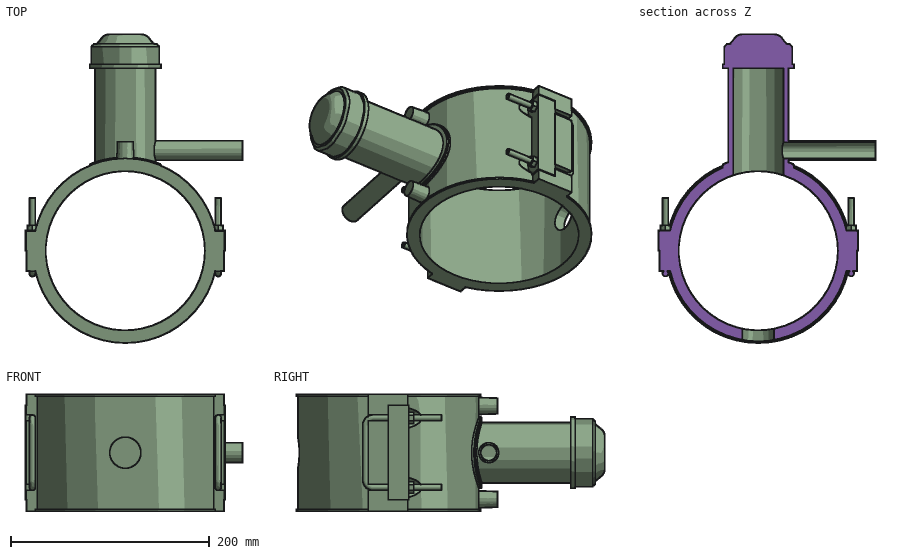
import cadquery as cq
import math

HEIGHT = 118.0
BORE_RADIUS = 80.0
BODY_RADIUS = 91.2
RIM_RADIUS = 93.0
RIM_HEIGHT = 2.0
FRONT_HOLE_DIAMETER = 31.36

FLANGE_REACH = 99.5
FRONT_FLANGE_DEPTH = 20.5
REAR_FLANGE_DEPTH = 19.5
PLATE_THICKNESS = 1.0
PLATE_LENGTH = 95.0

BOLT_DIAMETER = 6.0
BOLT_X = 93.5
BOLT_Z = 35.0
BOLT_END_Y = 53.5
BOLT_CHAMFER = 0.5
BEND_RADIUS = 7.5
BOLT_BASE_Y = -23.0
NUT_ACROSS_FLATS = 10.0
NUT_HEIGHT = 5.0
SPOTFACE_RADIUS = 11.0
SPOTFACE_END_RADIUS = 7.4
SPOTFACE_LENGTH = 20.0

NECK_DIAMETER = 61.2
NECK_BORE_DIAMETER = 50.4
PAD_DIAMETER = 72.0
PAD_THICKNESS = 3.0
PAD_CHAMFER = 1.0
COLLAR_DIAMETER = 72.0
COLLAR_START_Y = 183.5
COLLAR_THICKNESS = 4.5
GRIP_RADIUS = 34.4
GRIP_FLATS = 8
GRIP_FLAT_DISTANCE = 33.6
GRIP_LENGTH = 20.3
GRIP_CHAMFER = 2.8
DOME_BASE_RADIUS = 28.8
DOME_TOP_RADIUS = 20.8
DOME_EDGE_RADIUS = 10.0
CAP_END_Y = 218.02

OUTLET_DIAMETER = 20.0
OUTLET_BORE_DIAMETER = 16.0
OUTLET_Y = 101.0
OUTLET_END_X = 118.0

TERMINAL_TIP_DIAMETER = 16.0
TERMINAL_TIP_Y = 110.0
TERMINAL_Z = 47.0
TERMINAL_DRAFT_DEGREES = 2.0

PLATE_REACH = FLANGE_REACH + PLATE_THICKNESS
PLATE_TOP_Y = REAR_FLANGE_DEPTH + PLATE_THICKNESS
BOLT_RADIUS = BOLT_DIAMETER / 2
GRIP_START_Y = COLLAR_START_Y + COLLAR_THICKNESS
GRIP_END_Y = GRIP_START_Y + GRIP_LENGTH
MID_WALL_RADIUS = (BORE_RADIUS + BODY_RADIUS) / 2


def box(x_range, y_range, z_range):
    """Axis-aligned box between the given limits."""
    size = [high - low for low, high in (x_range, y_range, z_range)]
    corner = (x_range[0], y_range[0], z_range[0])
    return cq.Workplane("XY").box(*size, centered=False).translate(corner)


def cylinder_z(radius, height):
    """Cylinder on the ring axis, centred on Z = 0."""
    return cq.Workplane("XY").circle(radius).extrude(height / 2, both=True)


def cylinder_y(diameter, start_y, end_y, x=0.0, z=0.0):
    """Cylinder along Y from start_y to end_y."""
    plane = cq.Plane(origin=(x, start_y, z), xDir=(1, 0, 0), normal=(0, 1, 0))
    return cq.Workplane(plane).circle(diameter / 2).extrude(end_y - start_y)


def ring_blank():
    """Solid ring body with a slightly larger rim at both ends."""
    blank = cylinder_z(BODY_RADIUS, HEIGHT)
    rim = cq.Workplane("XY").circle(RIM_RADIUS).extrude(RIM_HEIGHT)
    blank = blank.union(rim.translate((0, 0, HEIGHT / 2 - RIM_HEIGHT)))
    return blank.union(rim.translate((0, 0, -HEIGHT / 2)))


def flange():
    """Flange pair on the +X side, with the clamping plate wrapped over the rear one."""
    half_height = HEIGHT / 2
    block = box(
        (MID_WALL_RADIUS, FLANGE_REACH),
        (-FRONT_FLANGE_DEPTH, REAR_FLANGE_DEPTH),
        (-half_height, half_height),
    )
    plate = box(
        (MID_WALL_RADIUS, PLATE_REACH),
        (0, PLATE_TOP_Y),
        (-PLATE_LENGTH / 2, PLATE_LENGTH / 2),
    )
    return block.union(plate)


def bolt_slot(z):
    """Slot in the front flange that takes one bolt leg, open to +X."""
    slot = box(
        (BOLT_X, PLATE_REACH),
        (-FRONT_FLANGE_DEPTH, 0),
        (z - BOLT_RADIUS, z + BOLT_RADIUS),
    )
    return slot.union(cylinder_y(BOLT_DIAMETER, -FRONT_FLANGE_DEPTH, 0, BOLT_X, z))


def u_bolt():
    """U-bolt on the +X side, closed end towards -Y, with chamfered leg ends."""
    bend_y = BOLT_BASE_Y + BEND_RADIUS
    bend_z = BOLT_Z - BEND_RADIUS
    bridge = cq.Workplane("XY", origin=(BOLT_X, BOLT_BASE_Y, 0)).circle(BOLT_RADIUS).extrude(bend_z, both=True)
    leg = cylinder_y(BOLT_DIAMETER, bend_y, BOLT_END_Y, BOLT_X, BOLT_Z)
    leg = leg.faces(">Y").chamfer(BOLT_CHAMFER)
    torus = cq.Solid.makeTorus(
        BEND_RADIUS,
        BOLT_RADIUS,
        cq.Vector(BOLT_X, bend_y, bend_z),
        cq.Vector(1, 0, 0),
    )
    corner = box(
        (BOLT_X - BOLT_RADIUS, BOLT_X + BOLT_RADIUS),
        (BOLT_BASE_Y - BOLT_RADIUS, bend_y),
        (bend_z, BOLT_Z + BOLT_RADIUS),
    )
    bend = corner.intersect(cq.Workplane(torus))
    half = leg.union(bend)
    return bridge.union(half).union(half.mirror("XY"))


def nut(z):
    """Hexagon nut on the clamping plate, corners pointing along Z."""
    corner_diameter = NUT_ACROSS_FLATS / math.cos(math.pi / 6)
    plane = cq.Plane(origin=(BOLT_X, PLATE_TOP_Y, z), xDir=(0, 0, 1), normal=(0, 1, 0))
    return cq.Workplane(plane).polygon(6, corner_diameter).extrude(NUT_HEIGHT)


def spotface(z):
    """Tapered clearance for a nut, cut into the ring wall above the clamping plate."""
    origin = cq.Vector(BOLT_X, PLATE_TOP_Y, z)
    cone = cq.Solid.makeCone(SPOTFACE_RADIUS, SPOTFACE_END_RADIUS, SPOTFACE_LENGTH, origin, cq.Vector(0, 1, 0))
    return cq.Workplane(cone)


def saddle_pad():
    """Round pad under the neck that follows the ring surface."""
    pad_radius = BODY_RADIUS + PAD_THICKNESS
    pad = cylinder_y(PAD_DIAMETER, 0, RIM_RADIUS + PAD_THICKNESS).cut(cylinder_y(PAD_DIAMETER, 0, BORE_RADIUS * 0.5))
    pad = pad.intersect(cylinder_z(pad_radius, HEIGHT))
    return pad.faces(">Y").edges().chamfer(PAD_CHAMFER)


def octagonal_grip():
    """Round grip with eight flats, chamfered around its outer end."""
    grip = cylinder_y(2 * GRIP_RADIUS, GRIP_START_Y, GRIP_END_Y)
    octagon_diameter = 2 * GRIP_FLAT_DISTANCE / math.cos(math.pi / GRIP_FLATS)
    plane = cq.Plane(origin=(0, GRIP_START_Y, 0), xDir=(1, 0, 0), normal=(0, 1, 0))
    flats = cq.Workplane(plane).polygon(GRIP_FLATS, octagon_diameter).extrude(GRIP_LENGTH)
    return grip.intersect(flats).faces(">Y").chamfer(GRIP_CHAMFER)


def dome():
    """Conical cap end with a rounded upper edge."""
    cone = cq.Solid.makeCone(
        DOME_BASE_RADIUS,
        DOME_TOP_RADIUS,
        CAP_END_Y - GRIP_END_Y,
        cq.Vector(0, GRIP_END_Y, 0),
        cq.Vector(0, 1, 0),
    )
    return cq.Workplane(cone).faces(">Y").edges().fillet(DOME_EDGE_RADIUS)


def cap():
    """Screw cap: collar, grip with flats and a rounded dome."""
    collar = cylinder_y(COLLAR_DIAMETER, COLLAR_START_Y, GRIP_START_Y)
    return collar.union(octagonal_grip()).union(dome())


def terminal(z):
    """Tapered terminal standing on the rear of the ring."""
    length = TERMINAL_TIP_Y - MID_WALL_RADIUS
    tip_radius = TERMINAL_TIP_DIAMETER / 2
    root_radius = tip_radius + length * math.tan(math.radians(TERMINAL_DRAFT_DEGREES))
    cone = cq.Solid.makeCone(root_radius, tip_radius, length, cq.Vector(0, MID_WALL_RADIUS, z), cq.Vector(0, 1, 0))
    return cq.Workplane(cone)


def outlet(diameter):
    """Cylinder along +X from the neck axis to the outlet end."""
    plane = cq.Workplane("YZ").center(OUTLET_Y, 0)
    return plane.circle(diameter / 2).extrude(OUTLET_END_X)


def clamp_side():
    """Flange with slots on the +X side."""
    side = flange()
    for z in (-BOLT_Z, BOLT_Z):
        side = side.cut(bolt_slot(z))
    return side


def fasteners():
    """U-bolt and its nuts on the +X side."""
    hardware = u_bolt()
    for z in (-BOLT_Z, BOLT_Z):
        hardware = hardware.union(nut(z))
    return hardware


def both_sides(shape):
    """The shape together with its mirror image in the YZ plane."""
    return shape.union(shape.mirror("YZ"))


body = ring_blank()
for bolt_z in (-BOLT_Z, BOLT_Z):
    body = body.cut(both_sides(spotface(bolt_z)))
body = body.union(both_sides(clamp_side()))
body = body.union(saddle_pad())
body = body.union(cylinder_y(NECK_DIAMETER, MID_WALL_RADIUS, COLLAR_START_Y))
body = body.union(outlet(OUTLET_DIAMETER))
for terminal_z in (-TERMINAL_Z, TERMINAL_Z):
    body = body.union(terminal(terminal_z))
body = body.cut(cylinder_z(BORE_RADIUS, HEIGHT))
body = body.cut(cylinder_y(NECK_BORE_DIAMETER, 0, COLLAR_START_Y))
body = body.cut(outlet(OUTLET_BORE_DIAMETER))
body = body.cut(cylinder_y(FRONT_HOLE_DIAMETER, -RIM_RADIUS, 0))
body = body.union(cap())
result = body.union(both_sides(fasteners()))